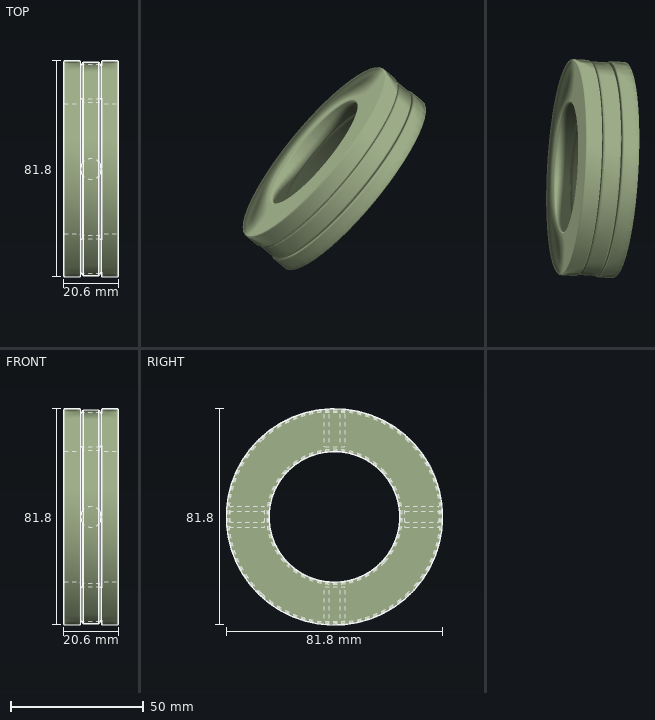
import cadquery as cq

total_width = 20.6
washer_diameter = 81.8
bore_diameter = 49.2
washer_edge_radius = 0.5

roller_count = 4
roller_diameter = 7.9
roller_inner_end = 26.4
roller_outer_end = 39.4
roller_edge_radius = 0.5

cage_setback = 0.5
cage_diameter = washer_diameter - 2 * cage_setback
cage_bore = bore_diameter + 2 * cage_setback
cage_chamfer = 0.5
cage_width = 6.8

washer_gap = roller_diameter
washer_width = (total_width - washer_gap) / 2
washer_offset = (washer_gap + washer_width) / 2


def make_ring(outer_diameter, inner_diameter, width, center_x):
    """Flat, sharp-edged ring around the X axis."""
    return (
        cq.Workplane("YZ", origin=(center_x - width / 2, 0, 0))
        .circle(outer_diameter / 2)
        .circle(inner_diameter / 2)
        .extrude(width)
    )


def make_washer(center_x):
    """Washer with all four circular edges rounded."""
    ring = make_ring(washer_diameter, bore_diameter, washer_width, center_x)
    return ring.edges().fillet(washer_edge_radius)


def make_roller(angle):
    """Cylindrical roller lying radially, turned about the X axis."""
    return (
        cq.Workplane("XY", origin=(0, 0, roller_inner_end))
        .circle(roller_diameter / 2)
        .extrude(roller_outer_end - roller_inner_end)
        .faces("<Z or >Z")
        .edges()
        .fillet(roller_edge_radius)
        .rotate((0, 0, 0), (1, 0, 0), angle)
    )


def make_cage(rollers):
    """Chamfered cage with a closely fitting pocket for each roller."""
    cage = make_ring(cage_diameter, cage_bore, cage_width, 0).edges().chamfer(cage_chamfer)
    for roller in rollers:
        cage = cage.cut(roller)
    return cage


washers = [make_washer(side * washer_offset) for side in (-1, 1)]

rollers = [make_roller(index * 360 / roller_count) for index in range(roller_count)]

cage = make_cage(rollers)

result = cq.Compound.makeCompound(
    [
        *[washer.val() for washer in washers],
        *[roller.val() for roller in rollers],
        *cage.vals(),
    ]
)